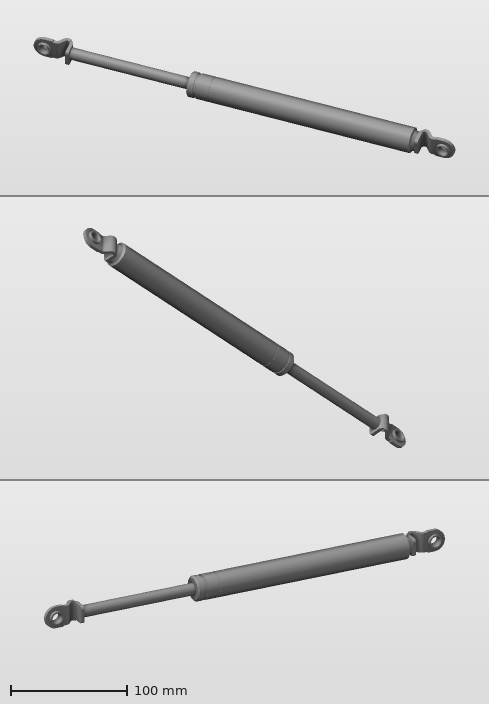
import cadquery as cq
import math

OVERALL_LENGTH = 384.0
HALF_LENGTH = OVERALL_LENGTH / 2

CYLINDER_RADIUS = 11.33
CYLINDER_FRONT = -49.5
FRONT_CHAMFER = 1.0
REAR_SHOULDER = 153.5
REAR_CHAMFER_LENGTH = 1.0
REAR_CHAMFER_DEPTH = 2.0
REAR_FACE_RADIUS = 8.0
GUIDE_GROOVE_START = -43.8
GUIDE_GROOVE_WIDTH = 2.5
GUIDE_GROOVE_DEPTH = 0.8
CRIMP_GROOVE_START = -29.5
CRIMP_GROOVE_WIDTH = 1.0
CRIMP_GROOVE_DEPTH = 0.5

ROD_RADIUS = 5.5

SHEET = 3.0
HEAD_RADIUS = 10.0
HEAD_LENGTH = 17.5
HEAD_CORNER_RADIUS = 1.5
BUSH_RADIUS = 6.0
BUSH_LENGTH = 8.5
HOLE_RADIUS = 4.2
HOLE_CHAMFER = 0.8
NECK_WIDTH = 18.0
NECK_BEND_RADIUS = 3.5
CROWN_BEND_RADIUS = 4.0
NECK_ANGLE = math.radians(50)
FLANGE_HALF_WIDTH = 8.0
FLANGE_CORNER_RADIUS = 3.0
FLANGE_SETBACK = 34.0

HEAD_CENTER = -HALF_LENGTH + HEAD_RADIUS
HEAD_END = -HALF_LENGTH + HEAD_LENGTH
FLANGE_FACE = -HALF_LENGTH + FLANGE_SETBACK


def plate_in_xz(sketch, thickness):
    """Extrude an XZ sketch symmetrically about the plane Y = 0."""
    return sketch.extrude(thickness / 2, both=True)


def make_head():
    """Flat head with a round end, and a bored bush standing out on both of its faces."""
    corner_x = HEAD_END - HEAD_CORNER_RADIUS
    corner_z = HEAD_RADIUS - HEAD_CORNER_RADIUS
    plate = plate_in_xz(
        cq.Workplane("XZ")
        .moveTo(HEAD_CENTER, HEAD_RADIUS)
        .threePointArc((-HALF_LENGTH, 0), (HEAD_CENTER, -HEAD_RADIUS))
        .lineTo(corner_x, -HEAD_RADIUS)
        .tangentArcPoint((HEAD_END, -corner_z), relative=False)
        .lineTo(HEAD_END, corner_z)
        .tangentArcPoint((corner_x, HEAD_RADIUS), relative=False)
        .close(),
        SHEET,
    )
    bush = plate_in_xz(cq.Workplane("XZ").center(HEAD_CENTER, 0).circle(BUSH_RADIUS), BUSH_LENGTH)
    hole = plate_in_xz(cq.Workplane("XZ").center(HEAD_CENTER, 0).circle(HOLE_RADIUS), BUSH_LENGTH)
    head = plate.union(bush).cut(hole)
    hole_rims = cq.selectors.RadiusNthSelector(0)
    return head.faces("<Y or >Y").edges(hole_rims).chamfer(HOLE_CHAMFER)


def make_neck():
    """Sheet that leaves the head, climbs towards +Y, turns over a crown and runs down as the flange."""
    flange_middle = FLANGE_FACE - SHEET / 2
    crown_x = flange_middle - CROWN_BEND_RADIUS
    crown_y = FLANGE_HALF_WIDTH - SHEET / 2 - CROWN_BEND_RADIUS
    slope_x = crown_x - CROWN_BEND_RADIUS * math.sin(NECK_ANGLE)
    slope_y = crown_y + CROWN_BEND_RADIUS * math.cos(NECK_ANGLE)
    rise_end_y = NECK_BEND_RADIUS * (1 - math.cos(NECK_ANGLE))
    rise_end_x = slope_x - (slope_y - rise_end_y) / math.tan(NECK_ANGLE)
    rise_start_x = rise_end_x - NECK_BEND_RADIUS * math.sin(NECK_ANGLE)

    half = SHEET / 2
    neck_start = HEAD_END - HEAD_CORNER_RADIUS
    normal_x = -half * math.sin(NECK_ANGLE)
    normal_y = half * math.cos(NECK_ANGLE)
    sheet = (
        cq.Workplane("XY")
        .moveTo(neck_start, half)
        .lineTo(rise_start_x, half)
        .tangentArcPoint((rise_end_x + normal_x, rise_end_y + normal_y), relative=False)
        .lineTo(slope_x + normal_x, slope_y + normal_y)
        .tangentArcPoint((FLANGE_FACE, crown_y), relative=False)
        .lineTo(FLANGE_FACE, -FLANGE_HALF_WIDTH)
        .lineTo(FLANGE_FACE - SHEET, -FLANGE_HALF_WIDTH)
        .lineTo(FLANGE_FACE - SHEET, crown_y)
        .tangentArcPoint((slope_x - normal_x, slope_y - normal_y), relative=False)
        .lineTo(rise_end_x - normal_x, rise_end_y - normal_y)
        .tangentArcPoint((rise_start_x, -half), relative=False)
        .lineTo(neck_start, -half)
        .close()
        .extrude(NECK_WIDTH / 2, both=True)
    )
    return sheet.intersect(make_neck_limits())


def make_neck_limits():
    """Full width up to the flange, then the narrower flange outline with two rounded corners."""
    flange_back = FLANGE_FACE - SHEET
    neck_zone = (
        cq.Workplane("XY")
        .box(HALF_LENGTH, 2 * HEAD_RADIUS, NECK_WIDTH)
        .translate((flange_back - HALF_LENGTH / 2, 0, 0))
    )
    flange_zone = (
        cq.Workplane("XY")
        .box(SHEET, 2 * FLANGE_HALF_WIDTH, 2 * FLANGE_HALF_WIDTH)
        .translate((flange_back + SHEET / 2, 0, 0))
        .edges("|X and <Y")
        .fillet(FLANGE_CORNER_RADIUS)
    )
    return neck_zone.union(flange_zone)


def make_eye():
    """Eye at the -X end."""
    return make_head().union(make_neck())


def make_groove(start, width, depth):
    """Ring that cuts a square groove into the cylinder wall."""
    return (
        cq.Workplane("YZ", origin=(start, 0, 0))
        .circle(CYLINDER_RADIUS + depth)
        .circle(CYLINDER_RADIUS - depth)
        .extrude(width)
    )


def make_rod():
    """Piston rod from the eye to the front face of the cylinder."""
    rod_length = CYLINDER_FRONT - FLANGE_FACE
    shaft = cq.Workplane("YZ", origin=(FLANGE_FACE, 0, 0)).circle(ROD_RADIUS).extrude(rod_length)
    return make_eye().union(shaft)


def make_cylinder():
    """Cylinder with a chamfered front, a conical rear, two grooves and the rear eye."""
    rear_face = -FLANGE_FACE
    cone_start = REAR_SHOULDER + REAR_CHAMFER_LENGTH
    cone_radius = CYLINDER_RADIUS - REAR_CHAMFER_DEPTH
    barrel = (
        cq.Workplane("XZ")
        .moveTo(CYLINDER_FRONT, 0)
        .lineTo(CYLINDER_FRONT, CYLINDER_RADIUS - FRONT_CHAMFER)
        .lineTo(CYLINDER_FRONT + FRONT_CHAMFER, CYLINDER_RADIUS)
        .lineTo(REAR_SHOULDER, CYLINDER_RADIUS)
        .lineTo(cone_start, cone_radius)
        .lineTo(rear_face, REAR_FACE_RADIUS)
        .lineTo(rear_face, 0)
        .close()
        .revolve(360, (0, 0, 0), (1, 0, 0))
    )
    guide_groove = make_groove(GUIDE_GROOVE_START, GUIDE_GROOVE_WIDTH, GUIDE_GROOVE_DEPTH)
    crimp_groove = make_groove(CRIMP_GROOVE_START, CRIMP_GROOVE_WIDTH, CRIMP_GROOVE_DEPTH)
    rear_eye = make_eye().mirror("YZ")
    return barrel.cut(guide_groove).cut(crimp_groove).union(rear_eye)


rod = make_rod()
cylinder = make_cylinder()

result = cq.Compound.makeCompound([rod.val(), cylinder.val()])